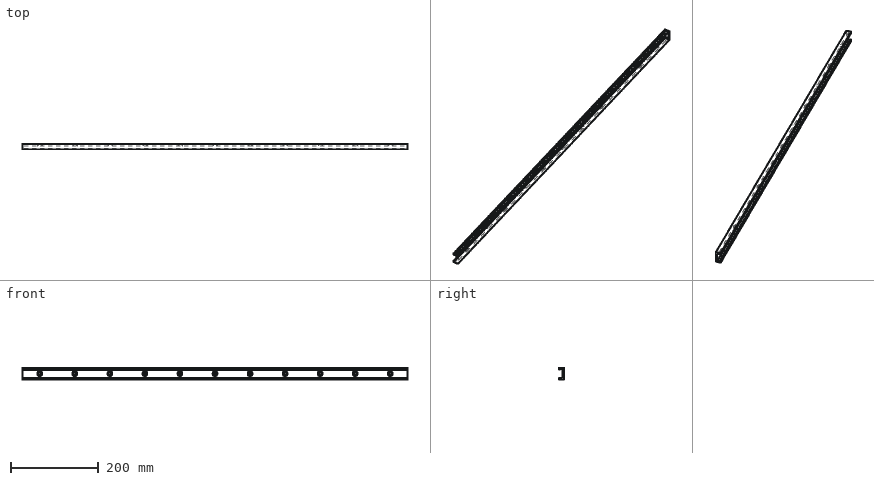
import cadquery as cq

rail_length = 880.0
rail_depth = 12.3
rail_height = 28.0
corner_chamfer = 0.75

web_thickness = 4.0
upper_root_edge = 8.15
lower_root_edge = 6.7

groove_thickness = 4.4
groove_front = 2.8
groove_back = 7.7
lip_thickness = 5.1
lip_crown_front = 1.0
lip_crown_back = 2.1
lip_nose_thickness = 3.6

hole_diameter = 5.5
countersink_diameter = 11.5
countersink_angle = 90.0
hole_pitch = 80.0
hole_count = 11

half_height = rail_height / 2
back_y = rail_depth / 2
front_y = -rail_depth / 2
web_face_y = back_y - web_thickness
groove_height = half_height - groove_thickness
lip_height = half_height - lip_thickness
nose_height = half_height - lip_nose_thickness


def half_outline(root_edge):
    """(Y, height) corners of one half of the section, from the back face round to the web face."""
    return [
        (back_y, half_height - corner_chamfer),
        (back_y - corner_chamfer, half_height),
        (front_y + corner_chamfer, half_height),
        (front_y, half_height - corner_chamfer),
        (front_y, nose_height),
        (front_y + lip_crown_front, lip_height),
        (front_y + lip_crown_back, lip_height),
        (front_y + groove_front, groove_height),
        (front_y + groove_back, groove_height),
        (web_face_y, root_edge),
    ]


def channel_body():
    """C-shaped section, open toward -Y, extruded along X; the lower root reaches further up the web."""
    upper = half_outline(upper_root_edge)
    lower = [(y, -height) for y, height in reversed(half_outline(lower_root_edge))]
    section = cq.Workplane("YZ").polyline(upper + lower).close()
    return section.extrude(rail_length / 2, both=True)


def drill_mounting_holes(body):
    """Countersunk screw holes through the web, sunk from the open side."""
    first_hole_x = -(hole_count - 1) / 2 * hole_pitch
    spots = [(first_hole_x + i * hole_pitch, 0) for i in range(hole_count)]
    web_plane = cq.Workplane("XZ", origin=(0, web_face_y, 0))
    drilled = web_plane.add(body).pushPoints(spots)
    return drilled.cskHole(hole_diameter, countersink_diameter, countersink_angle)


result = drill_mounting_holes(channel_body())